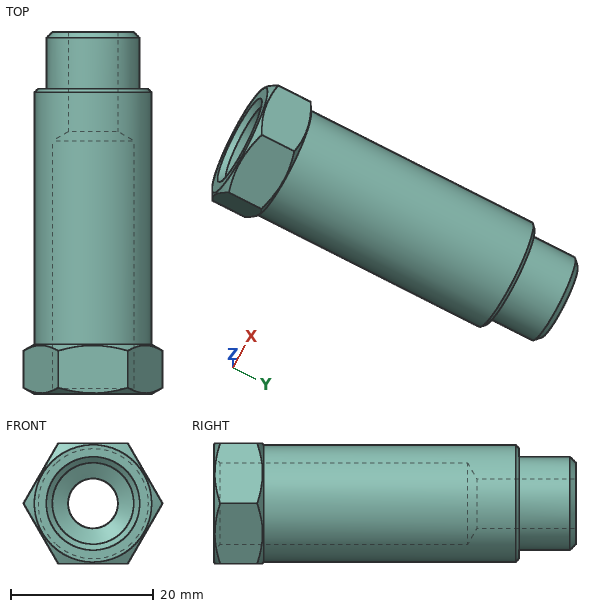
import cadquery as cq
import math

length = 51.0
head_length = 7.0
spigot_length = 8.0
shoulder_y = length - spigot_length

hex_across_flats = 17.0
hex_across_corners = hex_across_flats / math.cos(math.pi / 6)
body_diameter = 16.5
body_chamfer = 0.5
spigot_diameter = 13.15
spigot_chamfer = 0.85
head_chamfer_angle = math.radians(30)

bore_diameter = 11.5
bore_mouth_diameter = 13.15
bore_depth = 35.7
drill_tip_half_angle = math.radians(60)
through_diameter = 7.0


def revolve_profile(points):
    """Revolve a closed (radius, y) profile about the Y axis."""
    return cq.Workplane("XY").polyline(points).close().revolve(360, (0, 0, 0), (0, 1, 0))


def make_head():
    """Hexagon with its corners on X, turned down conically at both ends."""
    hexagon = cq.Workplane("XZ").polygon(6, hex_across_corners).extrude(-head_length)
    face_radius = body_diameter / 2
    corner_radius = hex_across_corners / 2
    corner_drop = (corner_radius - face_radius) * math.tan(head_chamfer_angle)
    turned_envelope = revolve_profile([
        (0, 0),
        (face_radius, 0),
        (corner_radius, corner_drop),
        (corner_radius, head_length - corner_drop),
        (face_radius, head_length),
        (0, head_length),
    ])
    return hexagon.intersect(turned_envelope)


def make_shank():
    """Cylindrical body and spigot, each with a chamfered +Y edge."""
    body_radius = body_diameter / 2
    spigot_radius = spigot_diameter / 2
    return revolve_profile([
        (0, head_length),
        (body_radius, head_length),
        (body_radius, shoulder_y - body_chamfer),
        (body_radius - body_chamfer, shoulder_y),
        (spigot_radius, shoulder_y),
        (spigot_radius, length - spigot_chamfer),
        (spigot_radius - spigot_chamfer, length),
        (0, length),
    ])


def make_bore():
    """Chamfered bore from the head, a conical bottom and a through hole."""
    bore_radius = bore_diameter / 2
    mouth_radius = bore_mouth_diameter / 2
    through_radius = through_diameter / 2
    mouth_depth = mouth_radius - bore_radius
    cone_depth = (bore_radius - through_radius) / math.tan(drill_tip_half_angle)
    return revolve_profile([
        (0, 0),
        (mouth_radius, 0),
        (bore_radius, mouth_depth),
        (bore_radius, bore_depth),
        (through_radius, bore_depth + cone_depth),
        (through_radius, length),
        (0, length),
    ])


result = make_head().union(make_shank()).cut(make_bore())